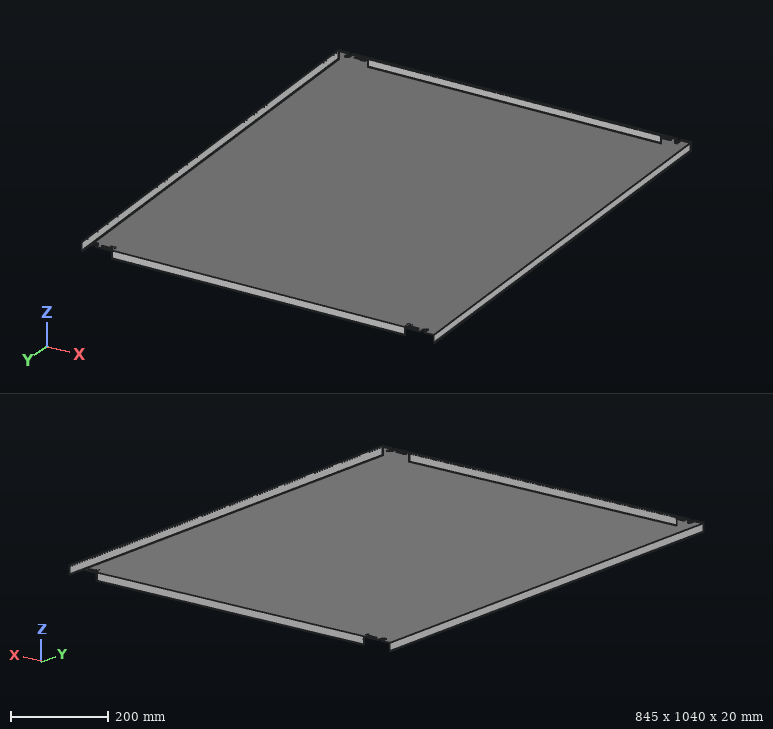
import cadquery as cq

length_x = 845.0
length_y = 1040.0
height = 20.0

thickness = 2.5

end_flange_inset = 72.0
end_flange_length = length_x - 2 * end_flange_inset

notch_inset = 25.0
notch_width = 9.3
notch_depth = 16.2
notch_corner_radius = 8.0

slot_start = 44.0
slot_end = 68.5
slot_width = 3.0
slot_inset_y = 8.8

recess_size = 12.2
recess_depth = 0.5
recess_inset_x = 67.0
recess_inset_y = 10.4

half_x = length_x / 2
half_y = length_y / 2


def box_between(low, high):
    """Box spanning two opposite corners."""
    size = [b - a for a, b in zip(low, high)]
    return cq.Workplane("XY").box(*size, centered=False).translate(tuple(low))


def flanged_plate():
    """Flat sheet with a square-cornered downward flange along each of its four edges."""
    plate = box_between((-half_x, -half_y, -thickness), (half_x, half_y, 0))
    side_flange = box_between((-half_x, -half_y, -height), (thickness - half_x, half_y, -thickness))
    end_flange = box_between(
        (-end_flange_length / 2, -half_y, -height),
        (end_flange_length / 2, thickness - half_y, -thickness),
    )
    for flange, mirror_plane in ((side_flange, "YZ"), (end_flange, "XZ")):
        plate = plate.union(flange).union(flange.mirror(mirror_plane))
    return plate


def end_notch():
    """Cutter for the open notch at the -X, -Y corner."""
    left = notch_inset - half_x
    return (
        box_between(
            (left, -half_y - notch_depth, -height),
            (left + notch_width, -half_y + notch_depth, height),
        )
        .edges("|Z and >X and >Y")
        .fillet(notch_corner_radius)
    )


def recessed_slot():
    """Cutter for the through slot and its square recess at the -X, -Y corner."""
    slot = (
        cq.Workplane("XY")
        .center((slot_start + slot_end) / 2 - half_x, slot_inset_y - half_y)
        .slot2D(slot_end - slot_start, slot_width)
        .extrude(-height)
    )
    recess = (
        cq.Workplane("XY")
        .center(recess_inset_x - half_x, recess_inset_y - half_y)
        .rect(recess_size, recess_size)
        .extrude(-recess_depth)
    )
    return slot.union(recess)


corner_cut = end_notch().union(recessed_slot())
end_cuts = corner_cut.union(corner_cut.mirror("YZ"))
result = flanged_plate().cut(end_cuts).cut(end_cuts.mirror("XZ"))